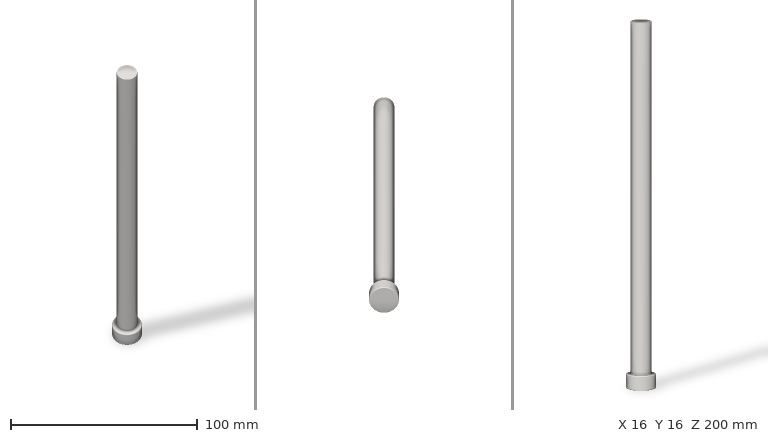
import cadquery as cq

total_length = 200.0
shank_diameter = 11.0
head_diameter = 16.0
head_height = 8.0

head_edge_radius = 0.5
neck_fillet_radius = 0.5

shank_radius = shank_diameter / 2
head_radius = head_diameter / 2

half_section = (
    cq.Workplane("XZ")
    .lineTo(head_radius - head_edge_radius, 0)
    .radiusArc((head_radius, head_edge_radius), -head_edge_radius)
    .lineTo(head_radius, head_height - head_edge_radius)
    .radiusArc((head_radius - head_edge_radius, head_height), -head_edge_radius)
    .lineTo(shank_radius + neck_fillet_radius, head_height)
    .radiusArc((shank_radius, head_height + neck_fillet_radius), neck_fillet_radius)
    .lineTo(shank_radius, total_length)
    .lineTo(0, total_length)
    .close()
)

result = half_section.revolve(360, (0, 0, 0), (0, 1, 0))